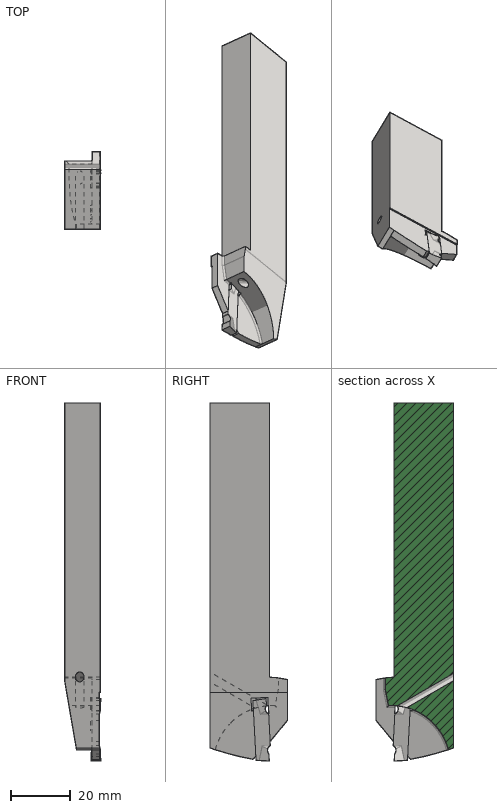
import cadquery as cq
import math

total_length = 120.0
shank_width = 12.0
shank_depth = 20.0

head_top = 28.1
ledge_start = 20.8
ledge_end = 21.8
ledge_rise = 0.1
head_back = 22.9
nose_upper = 24.0
nose_y = 21.8
front_bottom = 4.5
taper_top = 26.8
taper_depth = 3.8

relief_y = 20.9
relief_z = -1.1
relief_radius = 19.7
relief_front_y = 1.8
root_fillet = 0.6

blade_inner = 9.2
blade_back = 26.0
blade_top = 27.4
jaw_bottom = 13.7
jaw_tip_y = 19.3
jaw_tip_z = 5.5
bottom_end_y = 14.4
bottom_end_z = 0.6
bottom_mid_y = 8.3
bottom_mid_z = 1.9
side_relief_top = 23.0
side_relief_depth = 0.4
blade_outer = shank_width - side_relief_depth

bore_diameter = 2.9
bore_x = 5.0
bore_z = 28.2
bore_slope = 30.0
bore_length = 24.0

insert_length = 21.0
insert_tilt = 3.0
tip_y = 19.9
rake_height = 4.5
land_height = 5.0
head_length = 5.2
full_head_length = 3.5
end_relief = 0.5
groove_start = 2.4
groove_middle = 4.0
groove_floor = 4.1
edge_outer = 12.1
flank_base_tip = 1.0
flank_base_root = 2.3

pocket_inner = 8.6
end_clearance = 0.4
base_clearance = 0.6
base_clearance_length = 3.8

half_length = insert_length / 2
edge_overhang = edge_outer - blade_outer


def extrude_x(profile, start, end):
    """Extrude a closed YZ profile between two X positions."""
    return profile.extrude(end - start).translate((start, 0, 0))


def place_insert(shape):
    """Move a shape from the insert's own frame to its place in the holder."""
    tilt = math.radians(insert_tilt)
    turned_y = rake_height * math.cos(tilt) + half_length * math.sin(tilt)
    turned_z = rake_height * math.sin(tilt) - half_length * math.cos(tilt)
    turned = shape.rotate((0, 0, 0), (1, 0, 0), insert_tilt)
    return turned.translate((0, tip_y - turned_y, -turned_z))


def make_thick_part():
    """Shank and head down to the large arc."""
    relief_front_z = relief_z + math.sqrt(relief_radius**2 - (relief_y - relief_front_y) ** 2)
    nose_z = relief_z + math.sqrt(relief_radius**2 - (nose_y - relief_y) ** 2)
    slope = (head_top - blade_top) / (blade_back - ledge_end)
    diagonal = relief_radius * math.sqrt(0.5)
    profile = (
        cq.Workplane("YZ")
        .moveTo(0, front_bottom)
        .lineTo(0, total_length)
        .lineTo(shank_depth, total_length)
        .lineTo(shank_depth, head_top + ledge_rise)
        .lineTo(ledge_start, head_top)
        .lineTo(ledge_end, head_top)
        .lineTo(head_back, head_top - slope * (head_back - ledge_end))
        .lineTo(head_back, nose_upper)
        .lineTo(nose_y, nose_z)
        .threePointArc((relief_y - diagonal, relief_z + diagonal), (relief_front_y, relief_front_z))
        .close()
    )
    return extrude_x(profile, 0, shank_width)


def make_blade():
    """Thin plate with the rear jaw and the convex bottom edge."""
    profile = (
        cq.Workplane("YZ")
        .moveTo(0, front_bottom)
        .lineTo(0, head_top)
        .lineTo(ledge_end, head_top)
        .lineTo(blade_back, blade_top)
        .lineTo(blade_back, jaw_bottom)
        .lineTo(jaw_tip_y, jaw_tip_z)
        .lineTo(bottom_end_y, bottom_end_z)
        .threePointArc((bottom_mid_y, bottom_mid_z), (0, front_bottom))
        .close()
    )
    return extrude_x(profile, blade_inner, shank_width)


def make_side_taper():
    """Wedge removed from the -X face of the head."""
    slope = taper_depth / (taper_top - front_bottom)
    return (
        cq.Workplane("XZ", origin=(0, blade_back, 0))
        .polyline([(0, taper_top), (slope * taper_top, 0), (0, 0)])
        .close()
        .extrude(blade_back)
    )


def make_side_relief():
    """Thin layer removed from the lower +X face."""
    return cq.Workplane("XY").box(
        side_relief_depth, blade_back, side_relief_top, centered=False
    ).translate((blade_outer, 0, 0))


def make_coolant_bore():
    """Bore that runs down from the front face and out through the arc."""
    slope = math.radians(bore_slope)
    along = cq.Vector(0, math.cos(slope), -math.sin(slope))
    start = cq.Vector(bore_x, 0, bore_z) - along * bore_diameter
    return cq.Solid.makeCylinder(bore_diameter / 2, bore_length + bore_diameter, start, along)


def make_pocket():
    """Seat of the insert, open to +X and to the bottom, with clearance at the upper end."""
    pocket_top = half_length + end_clearance
    clearance_start = half_length - base_clearance_length
    profile = (
        cq.Workplane("YZ")
        .moveTo(0, -insert_length)
        .lineTo(0, clearance_start)
        .lineTo(-base_clearance, clearance_start)
        .lineTo(-base_clearance, pocket_top)
        .lineTo(land_height, pocket_top)
        .lineTo(land_height, -insert_length)
        .close()
    )
    return place_insert(extrude_x(profile, pocket_inner, edge_outer))


def make_holder():
    """Holder with the insert pocket and the coolant bore."""
    blank = make_thick_part().union(make_blade())
    margin = 0.1
    jaw_middle = (jaw_bottom + jaw_tip_z) / 2
    root = cq.selectors.BoxSelector(
        (blade_inner - margin, relief_front_y, jaw_middle + margin),
        (blade_inner + margin, head_back + margin, head_top),
    )
    blank = blank.edges(root).fillet(root_fillet)
    cuts = [make_side_taper(), make_side_relief(), make_coolant_bore(), make_pocket()]
    for cut in cuts:
        blank = blank.cut(cut)
    return blank


def insert_profile():
    """Side profile of the insert, the same at both ends."""
    root = half_length - head_length
    start = half_length - groove_start
    middle = half_length - groove_middle
    return (
        cq.Workplane("YZ")
        .moveTo(0, end_relief - half_length)
        .lineTo(rake_height, -half_length)
        .lineTo(rake_height, -start)
        .threePointArc((groove_floor, -middle), (land_height, -root))
        .lineTo(land_height, root)
        .threePointArc((groove_floor, middle), (rake_height, start))
        .lineTo(rake_height, half_length)
        .lineTo(0, half_length - end_relief)
        .close()
    )


def make_flank_envelope():
    """Wedge around the lower head, narrowing from the cutting edge to the web."""
    growth = edge_overhang / (rake_height - flank_base_tip)
    widening = growth * (land_height - flank_base_tip)
    section = cq.Wire.makePolygon(
        [
            cq.Vector(blade_inner, flank_base_tip, -half_length),
            cq.Vector(blade_outer, flank_base_tip, -half_length),
            cq.Vector(blade_outer + widening, land_height, -half_length),
            cq.Vector(blade_inner - widening, land_height, -half_length),
        ],
        close=True,
    )
    towards_root = cq.Vector(0, flank_base_root - flank_base_tip, head_length)
    wedge = cq.Workplane(cq.Solid.extrudeLinear(section, [], towards_root))

    blend_start = full_head_length - half_length
    blend_end = head_length - half_length
    outline = (
        cq.Workplane("XZ")
        .moveTo(blade_inner - edge_overhang, -half_length)
        .lineTo(blade_outer + edge_overhang, -half_length)
        .lineTo(blade_outer + edge_overhang, blend_start)
        .lineTo(blade_outer, blend_end)
        .lineTo(blade_inner, blend_end)
        .lineTo(blade_inner - edge_overhang, blend_start)
        .close()
        .extrude(-2 * land_height)
    )
    return wedge.intersect(outline)


def make_insert():
    """Double-ended insert, its two heads mirrored about the middle of its length."""
    lower_flanks = make_flank_envelope()
    upper_flanks = lower_flanks.mirror("XY")
    web = cq.Workplane("XY").box(
        blade_outer - blade_inner, land_height, insert_length, centered=False
    ).translate((blade_inner, 0, -half_length))
    envelope = web.union(lower_flanks).union(upper_flanks)
    blank = extrude_x(insert_profile(), pocket_inner, edge_outer)
    return place_insert(blank.intersect(envelope))


holder = make_holder()
insert = make_insert()
result = cq.Compound.makeCompound([holder.val(), insert.val()])